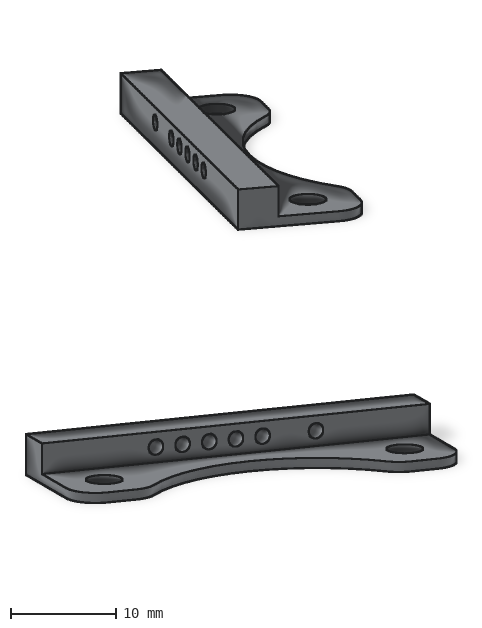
import cadquery as cq
import math

length = 40.0
depth = 13.0
bar_width = 4.0
bar_height = 4.0
plate_thickness = 1.0

outer_corner_radius = 3.0
recess_radius = 16.7
recess_bottom_y = 7.0
recess_edge_radius = 3.0

mount_hole_diameter = 3.5
mount_hole_spacing = 31.0
mount_hole_y = 8.25
mount_center_x = 19.875

pin_hole_diameter = 1.5
pin_hole_pitch = 2.75
pin_hole_z = 2.5
first_pin_x = 11.75
pin_positions = (0, 2, 3, 4, 5, 6)


def round_back_corner(plate, corner_x, radius):
    """Round the vertical edge of the plate at corner_x on its back side."""
    corner = cq.selectors.NearestToPointSelector((corner_x, depth, plate_thickness / 2))
    return plate.edges("|Z").edges(corner).fillet(radius)


def make_plate():
    """Thin plate with two rounded lugs either side of a round recess."""
    recess_center_y = recess_bottom_y + recess_radius
    plate = cq.Workplane("XY").box(length, depth, plate_thickness, centered=False)
    recess = (
        cq.Workplane("XY")
        .center(mount_center_x, recess_center_y)
        .circle(recess_radius)
        .extrude(plate_thickness)
    )
    plate = plate.cut(recess)

    half_mouth = math.sqrt(recess_radius**2 - (recess_center_y - depth) ** 2)
    for side in (-1, 1):
        plate = round_back_corner(plate, mount_center_x + side * half_mouth, recess_edge_radius)
    for corner_x in (0, length):
        plate = round_back_corner(plate, corner_x, outer_corner_radius)
    return plate


def make_bar():
    """Square bar along the front edge."""
    return cq.Workplane("XY").box(length, bar_width, bar_height, centered=False)


def make_mount_holes():
    """Vertical cutters for the two mounting holes."""
    half_spacing = mount_hole_spacing / 2
    return (
        cq.Workplane("XY")
        .pushPoints([(mount_center_x + side * half_spacing, mount_hole_y) for side in (-1, 1)])
        .circle(mount_hole_diameter / 2)
        .extrude(plate_thickness)
    )


def make_pin_holes():
    """Cutters for the pin holes, running front to back through the bar."""
    return (
        cq.Workplane("XZ")
        .pushPoints([(first_pin_x + i * pin_hole_pitch, pin_hole_z) for i in pin_positions])
        .circle(pin_hole_diameter / 2)
        .extrude(-bar_width)
    )


result = make_plate().union(make_bar()).cut(make_mount_holes()).cut(make_pin_holes())